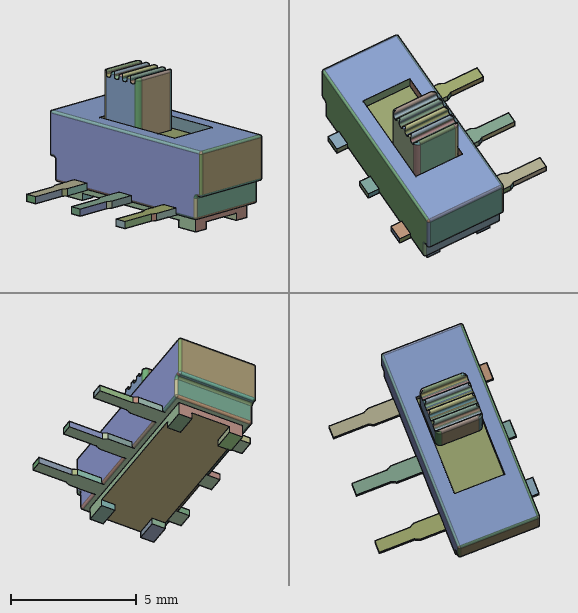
import cadquery as cq
import math

BODY_LENGTH = 8.5
BODY_WIDTH = 3.5
BODY_BOTTOM = 0.6
BODY_TOP = 3.5
STEP_HEIGHT = 1.6
STEP_DEPTH = 0.3
BODY_ROUND = 0.1

SLOT_LENGTH = 4.2
SLOT_WIDTH = 2.15
SLOT_DEPTH = 0.5

BASE_LENGTH = 7.3
BASE_WIDTH = 2.9
FOOT_LENGTH = 0.95
FOOT_WIDTH = 0.6
FOOT_HEIGHT = 0.3

LEAD_COUNT = 3
LEAD_PITCH = 2.5
LEAD_WIDTH = 0.7
LEAD_TIP_WIDTH = 0.5
LEAD_THICKNESS = 0.3
LEAD_BACK_Y = 2.25
LEAD_TAPER_START_Y = -2.85
LEAD_TAPER_END_Y = -3.05
LEAD_TIP_Y = -4.55

KNOB_SIZE = 2.0
KNOB_TOP = 5.5
KNOB_CENTER_X = -1.0
KNOB_CORNER_RADIUS = 0.2
RIDGE_COUNT = 5
RIDGE_WIDTH = 0.2
RIDGE_ROUND = RIDGE_WIDTH / 2
GROOVE_COUNT = RIDGE_COUNT - 1
GROOVE_WIDTH = (KNOB_SIZE - RIDGE_COUNT * RIDGE_WIDTH) / GROOVE_COUNT
GROOVE_PITCH = RIDGE_WIDTH + GROOVE_WIDTH
GROOVE_DEPTH = 0.26
GROOVE_FLOOR_ROUND = 0.1


def make_body():
    half_top = BODY_LENGTH / 2
    half_bottom = half_top - STEP_DEPTH
    outline = [
        (-half_bottom, BODY_BOTTOM),
        (half_bottom, BODY_BOTTOM),
        (half_bottom, STEP_HEIGHT),
        (half_top, STEP_HEIGHT),
        (half_top, BODY_TOP),
        (-half_top, BODY_TOP),
        (-half_top, STEP_HEIGHT),
        (-half_bottom, STEP_HEIGHT),
    ]
    block = cq.Workplane("XZ").polyline(outline).close().extrude(BODY_WIDTH / 2, both=True)
    block = block.edges().fillet(BODY_ROUND)
    slot = (
        cq.Workplane("XY", origin=(0, 0, BODY_TOP - SLOT_DEPTH))
        .rect(SLOT_LENGTH, SLOT_WIDTH)
        .extrude(SLOT_DEPTH)
    )
    return block.cut(slot)


def make_base():
    plate = (
        cq.Workplane("XY", origin=(0, 0, FOOT_HEIGHT))
        .rect(BASE_LENGTH, BASE_WIDTH)
        .extrude(BODY_BOTTOM - FOOT_HEIGHT)
    )
    feet = (
        cq.Workplane("XY")
        .rect(BASE_LENGTH - FOOT_LENGTH, BASE_WIDTH - FOOT_WIDTH, forConstruction=True)
        .vertices()
        .rect(FOOT_LENGTH, FOOT_WIDTH)
        .extrude(FOOT_HEIGHT)
    )
    return plate.union(feet)


def make_lead(center_x):
    half = LEAD_WIDTH / 2
    half_tip = LEAD_TIP_WIDTH / 2
    outline = [
        (-half, LEAD_BACK_Y),
        (half, LEAD_BACK_Y),
        (half, LEAD_TAPER_START_Y),
        (half_tip, LEAD_TAPER_END_Y),
        (half_tip, LEAD_TIP_Y),
        (-half_tip, LEAD_TIP_Y),
        (-half_tip, LEAD_TAPER_END_Y),
        (-half, LEAD_TAPER_START_Y),
    ]
    return (
        cq.Workplane("XY", origin=(center_x, 0, BODY_BOTTOM))
        .polyline(outline)
        .close()
        .extrude(LEAD_THICKNESS)
    )


def make_groove(center_x):
    """Channel along Y whose rims round over to the middle of the ridges beside it."""
    wall = GROOVE_WIDTH / 2
    rim = wall + RIDGE_ROUND
    flat = wall - GROOVE_FLOOR_ROUND
    floor = -GROOVE_DEPTH
    diagonal = math.sqrt(0.5)
    rim_mid_x = rim - RIDGE_ROUND * diagonal
    rim_mid_z = RIDGE_ROUND * (diagonal - 1)
    floor_mid_x = flat + GROOVE_FLOOR_ROUND * diagonal
    floor_mid_z = floor + GROOVE_FLOOR_ROUND * (1 - diagonal)
    return (
        cq.Workplane("XZ", origin=(center_x, 0, KNOB_TOP))
        .moveTo(-rim, 0)
        .threePointArc((-rim_mid_x, rim_mid_z), (-wall, -RIDGE_ROUND))
        .lineTo(-wall, floor + GROOVE_FLOOR_ROUND)
        .threePointArc((-floor_mid_x, floor_mid_z), (-flat, floor))
        .lineTo(flat, floor)
        .threePointArc((floor_mid_x, floor_mid_z), (wall, floor + GROOVE_FLOOR_ROUND))
        .lineTo(wall, -RIDGE_ROUND)
        .threePointArc((rim_mid_x, rim_mid_z), (rim, 0))
        .close()
        .extrude(KNOB_SIZE, both=True)
    )


def make_knob():
    knob_bottom = BODY_TOP - SLOT_DEPTH
    knob = (
        cq.Workplane("XY", origin=(KNOB_CENTER_X, 0, knob_bottom))
        .rect(KNOB_SIZE, KNOB_SIZE)
        .extrude(KNOB_TOP - knob_bottom)
        .edges("|Z")
        .fillet(KNOB_CORNER_RADIUS)
        .faces(">Z")
        .edges()
        .fillet(RIDGE_ROUND)
    )
    for index in range(GROOVE_COUNT):
        offset = (index - (GROOVE_COUNT - 1) / 2) * GROOVE_PITCH
        knob = knob.cut(make_groove(KNOB_CENTER_X + offset))
    return knob


result = make_body().union(make_base()).union(make_knob())
for lead_index in range(LEAD_COUNT):
    lead_x = (lead_index - (LEAD_COUNT - 1) / 2) * LEAD_PITCH
    result = result.union(make_lead(lead_x))